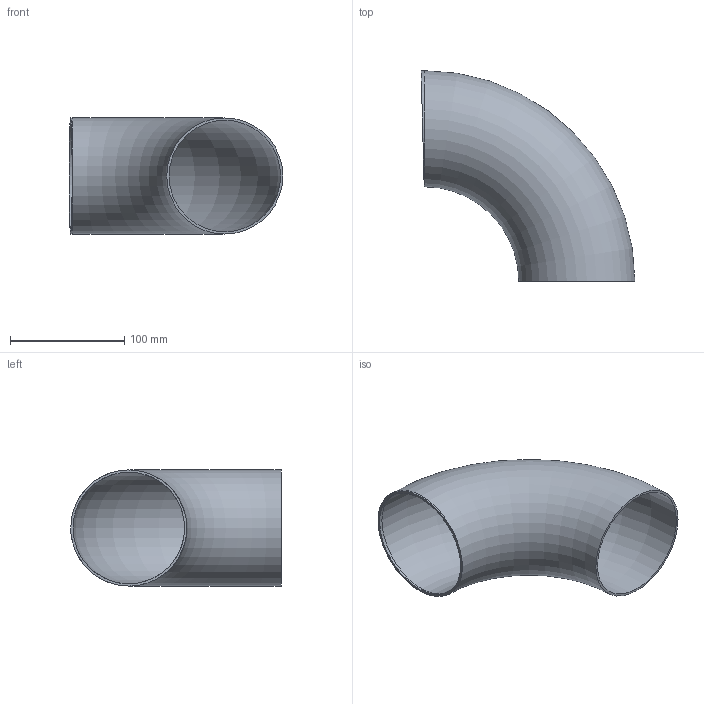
import cadquery as cq
import math

outer_diameter = 101.6
inner_diameter = 97.6
bend_radius = 133.4
bend_angle = 90
stub_length_outside = 2.83
mouth_slant_angle = 1.5

bend_outside = bend_radius + outer_diameter / 2
bend_inside = bend_radius - outer_diameter / 2
stub_length_inside = stub_length_outside - outer_diameter * math.tan(math.radians(mouth_slant_angle))


def bent_rod(diameter):
    """Solid round bar bent about Z, from the +X side round to the +Y side."""
    section = cq.Workplane("XZ").center(bend_radius, 0).circle(diameter / 2)
    return section.revolve(bend_angle, (-bend_radius, 0, 0), (-bend_radius, 1, 0))


def slanted_stub():
    """Straight ring on the far end of the bend, cut so it is longest at the outside of the bend."""
    ring = (
        cq.Workplane("YZ")
        .center(bend_radius, 0)
        .circle(outer_diameter / 2)
        .circle(inner_diameter / 2)
        .extrude(-stub_length_outside)
    )
    wedge = (
        cq.Workplane("XY")
        .moveTo(0, bend_inside)
        .lineTo(0, bend_outside)
        .lineTo(-stub_length_outside, bend_outside)
        .lineTo(-stub_length_inside, bend_inside)
        .close()
        .extrude(outer_diameter / 2, both=True)
    )
    return ring.intersect(wedge)


bend = bent_rod(outer_diameter).cut(bent_rod(inner_diameter))
result = bend.union(slanted_stub())